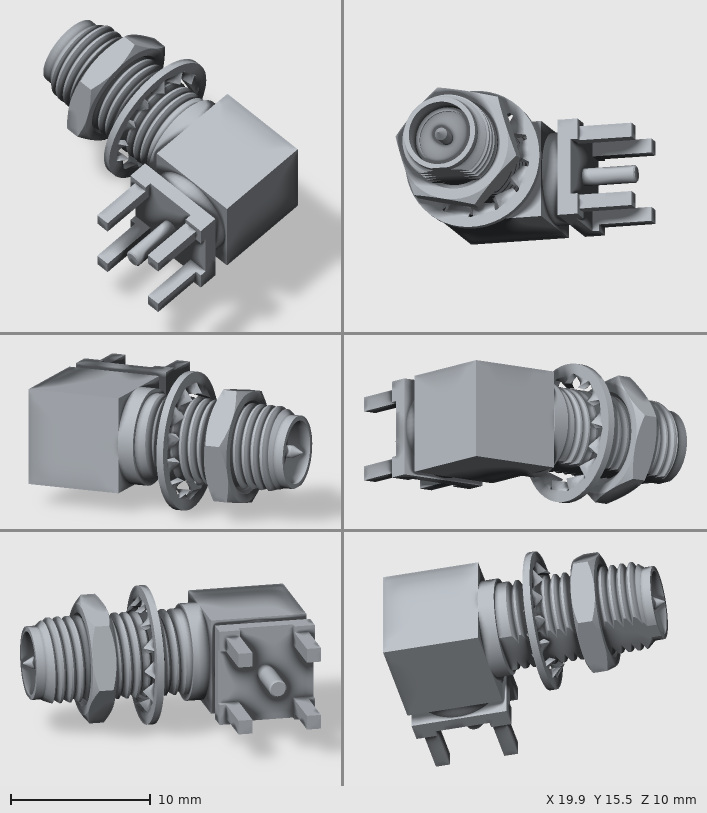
import cadquery as cq
import math


block_width = 7.0
block_back_y = 3.38
block_front_y = -3.9
neck_radius = 3.33
plate_back_y = -5.1
plate_thickness = 1.0
foot_size = 1.5
foot_height = 0.5
leg_size = 1.03
leg_end_y = -10.5
pin_radius = 0.635
pin_end_y = -10.0
pin_chamfer = 0.1

half_width = block_width / 2
plate_front_y = plate_back_y - plate_thickness
foot_front_y = plate_front_y - foot_height
foot_inner = half_width - foot_size

collar_radius = half_width
collar_start_x = -4.68
barrel_end_x = -16.0
tip_radius = 2.65
tip_length = 0.7
lead_in_length = 0.65
flat_z = -2.57
bore_radius = 2.29
bore_depth = 1.78
recess_radius = 2.01
recess_depth = 0.1
contact_radius = 0.46
contact_cone_length = 0.75
contact_tip_radius = 0.05
contact_end_x = -16.4

thread_radius = 3.175
thread_root_radius = 2.74
thread_pitch = 0.7
thread_turns = 14
thread_end_x = -5.25
groove_opening = 0.54
thread_overcut = 0.05

nut_across_flats = 8.0
nut_start_x = -12.2
nut_thickness = 1.76
nut_corner_angle = 12.5
nut_chamfer_angle = 30
nut_bore_radius = 2.82
nut_countersink_radius = 3.38
nut_clearance = 0.005
nut_thread_turns = 6
nut_setback_turns = 5
chamfer_overcut = 0.1

washer_radius = 5.0
washer_inner_radius = 4.15
washer_start_x = -7.69
washer_thickness = 0.52
tooth_count = 13
tooth_width = 1.69
tooth_end_radius = 3.48
tooth_twist = 45
tooth_axial_shift = -0.1
first_tooth_angle = 4.9


def along_x(profile):
    """Revolve an (x, radius) outline about the X axis."""
    return cq.Workplane("XY").polyline(profile).close().revolve(360, (0, 0, 0), (1, 0, 0))


def along_y(radius, front_y, back_y):
    """Cylinder on the board leg axis."""
    return cq.Workplane("XZ", origin=(0, back_y, 0)).circle(radius).extrude(back_y - front_y)


def square_along_y(size, front_y, back_y, x=0, z=0):
    """Square bar parallel to Y, centred on x, z."""
    bar = cq.Workplane("XZ", origin=(0, back_y, 0)).center(x, z)
    return bar.rect(size, size).extrude(back_y - front_y)


def flank_offset(radius):
    """Half the width of the thread groove at a radius."""
    flank_slope = groove_opening / 2 / (thread_radius - thread_root_radius)
    return flank_slope * (radius - thread_root_radius)


def helical_cutter(profile, end_x, turns):
    """Right-hand sweep of a (radius, axial offset) outline, ending at end_x on the -Z side."""
    length = turns * thread_pitch
    helix = cq.Workplane(obj=cq.Wire.makeHelix(thread_pitch, length, thread_root_radius))
    return (
        cq.Workplane("XZ")
        .polyline(profile)
        .close()
        .sweep(helix, isFrenet=True)
        .rotate((0, 0, 0), (0, 1, 0), 90)
        .translate((end_x - length, 0, 0))
    )


def make_threaded_rod():
    """Plain rod with a right-hand V thread, the full length of the barrel."""
    rod = along_x([
        (barrel_end_x, 0),
        (barrel_end_x, thread_radius),
        (collar_start_x, thread_radius),
        (collar_start_x, 0),
    ])
    cut_radius = thread_radius + thread_overcut
    groove = helical_cutter(
        [
            (thread_root_radius, 0),
            (cut_radius, flank_offset(cut_radius)),
            (cut_radius, -flank_offset(cut_radius)),
        ],
        thread_end_x,
        thread_turns,
    )
    return rod.cut(groove)


def make_barrel(threaded_rod):
    """Coupling barrel with its wrench flat, socket, centre contact and collar."""
    barrel_length = collar_start_x - barrel_end_x
    below_flat = cq.Workplane("XY").box(
        barrel_length, block_width, block_width, centered=(False, True, False)
    ).translate((barrel_end_x, 0, flat_z - block_width))
    floor_x = barrel_end_x + bore_depth
    socket = along_x([
        (barrel_end_x, 0),
        (barrel_end_x, bore_radius),
        (floor_x, bore_radius),
        (floor_x, recess_radius),
        (floor_x + recess_depth, recess_radius),
        (floor_x + recess_depth, 0),
    ])
    contact = along_x([
        (contact_end_x, 0),
        (contact_end_x, contact_tip_radius),
        (contact_end_x + contact_cone_length, contact_radius),
        (collar_start_x, contact_radius),
        (collar_start_x, 0),
    ])
    collar = along_x([
        (collar_start_x, 0),
        (collar_start_x, collar_radius),
        (-half_width, collar_radius),
        (-half_width, 0),
    ])
    cone_start_x = barrel_end_x + tip_length
    cone_end_x = cone_start_x + lead_in_length
    outside_lead_in = along_x([
        (barrel_end_x, tip_radius),
        (cone_start_x, tip_radius),
        (cone_end_x, thread_radius),
        (cone_end_x, collar_radius),
        (barrel_end_x, collar_radius),
    ])
    return threaded_rod.cut(outside_lead_in).cut(below_flat).cut(socket).union(contact).union(collar)


def make_board_leg():
    """Elbow block, neck, mounting plate, four corner legs and the solder pin."""
    body = square_along_y(block_width, block_front_y, block_back_y)
    body = body.union(along_y(neck_radius, plate_back_y, block_front_y))
    body = body.union(square_along_y(block_width, plate_front_y, plate_back_y))
    foot_center = foot_inner + foot_size / 2
    leg_center = foot_inner + leg_size / 2
    for side_x in (-1, 1):
        for side_z in (-1, 1):
            foot = square_along_y(
                foot_size, foot_front_y, plate_front_y, side_x * foot_center, side_z * foot_center
            )
            leg = square_along_y(
                leg_size, leg_end_y, foot_front_y, side_x * leg_center, side_z * leg_center
            )
            body = body.union(foot).union(leg)
    pin = along_y(pin_radius, pin_end_y, plate_front_y).faces("<Y").chamfer(pin_chamfer)
    return body.union(pin)


def make_nut_thread_blank():
    """Thick sleeve, longer than the nut, with the internal thread that fits the barrel."""
    ridge_end_x = thread_end_x - (nut_setback_turns + 0.5) * thread_pitch
    sleeve_length = (nut_thread_turns + 2) * thread_pitch
    sleeve_start_x = ridge_end_x + thread_pitch - sleeve_length
    sleeve = (
        cq.Workplane("YZ", origin=(sleeve_start_x, 0, 0))
        .circle(nut_across_flats)
        .circle(nut_bore_radius)
        .extrude(sleeve_length)
    )
    outer_radius = thread_radius + nut_clearance
    inner_radius = nut_bore_radius - thread_overcut
    outer_half_width = thread_pitch / 2 - flank_offset(thread_radius) + nut_clearance
    inner_half_width = thread_pitch / 2 - flank_offset(inner_radius) + nut_clearance
    ridge_space = helical_cutter(
        [
            (inner_radius, inner_half_width),
            (outer_radius, outer_half_width),
            (outer_radius, -outer_half_width),
            (inner_radius, -inner_half_width),
        ],
        ridge_end_x,
        nut_thread_turns,
    )
    return sleeve.cut(ridge_space)


def make_nut():
    """Hex nut, chamfered and countersunk on both faces, threaded to fit the barrel."""
    nut_end_x = nut_start_x + nut_thickness
    face_radius = nut_across_flats / 2
    corner_radius = face_radius / math.cos(math.pi / 6)
    hexagon = (
        cq.Workplane("YZ", origin=(nut_start_x, 0, 0))
        .polygon(6, 2 * corner_radius)
        .extrude(nut_thickness)
        .rotate((0, 0, 0), (1, 0, 0), nut_corner_angle)
    )
    cone_radius = corner_radius + chamfer_overcut
    cone_depth = (cone_radius - face_radius) * math.tan(math.radians(nut_chamfer_angle))
    core_radius = nut_bore_radius - thread_overcut
    countersink_depth = nut_countersink_radius - core_radius
    envelope = along_x([
        (nut_start_x, nut_countersink_radius),
        (nut_start_x, face_radius),
        (nut_start_x + cone_depth, cone_radius),
        (nut_end_x - cone_depth, cone_radius),
        (nut_end_x, face_radius),
        (nut_end_x, nut_countersink_radius),
        (nut_end_x - countersink_depth, core_radius),
        (nut_start_x + countersink_depth, core_radius),
    ])
    return make_nut_thread_blank().intersect(hexagon.intersect(envelope))


def make_tooth():
    """One tooth on the +Y side of the ring, twisted about its own radial line."""
    middle_x = washer_start_x + washer_thickness / 2
    return (
        cq.Workplane(cq.Plane((middle_x, washer_inner_radius, 0), (1, 0, 0), (0, -1, 0)))
        .rect(washer_thickness, tooth_width)
        .workplane(offset=washer_inner_radius - tooth_end_radius)
        .center(tooth_axial_shift, 0)
        .transformed(rotate=(0, 0, tooth_twist))
        .rect(washer_thickness, tooth_width)
        .loft(ruled=True)
    )


def make_washer():
    """Ring with a many-sided opening that carries one twisted tooth on each side."""
    tooth_pitch_angle = 360 / tooth_count
    opening_corner_radius = washer_inner_radius / math.cos(math.radians(tooth_pitch_angle / 2))
    opening = (
        cq.Workplane("YZ", origin=(washer_start_x, 0, 0))
        .polygon(tooth_count, 2 * opening_corner_radius)
        .extrude(washer_thickness)
        .rotate((0, 0, 0), (1, 0, 0), tooth_pitch_angle / 2)
    )
    washer = (
        cq.Workplane("YZ", origin=(washer_start_x, 0, 0))
        .circle(washer_radius)
        .extrude(washer_thickness)
        .cut(opening)
    )
    tooth = make_tooth()
    for index in range(tooth_count):
        washer = washer.union(tooth.rotate((0, 0, 0), (1, 0, 0), index * tooth_pitch_angle))
    return washer.rotate((0, 0, 0), (1, 0, 0), 180 - first_tooth_angle)


threaded_rod = make_threaded_rod()
connector = make_board_leg().union(make_barrel(threaded_rod))
nut = make_nut()
washer = make_washer()

result = cq.Compound.makeCompound([connector.val(), nut.val(), washer.val()])